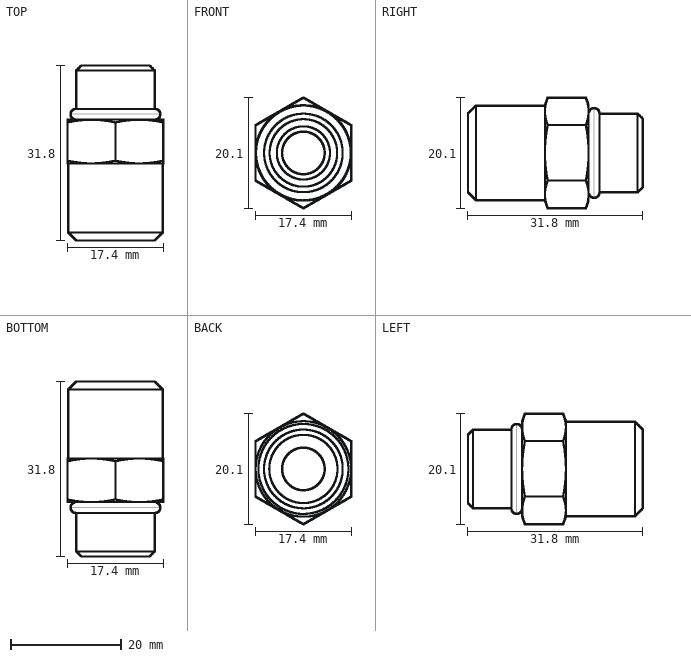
import cadquery as cq
import math

total_length = 31.75
hex_across_flats = 17.4
hex_length = 7.95
hex_bevel_angle = 20.0
hex_bevel_diameter = 17.35

tube_end_diameter = 17.18
tube_end_length = 13.97
tube_end_chamfer = 1.45

stud_diameter = 14.3
stud_chamfer = 0.95

ring_outer_diameter = 16.32
ring_section_diameter = 1.97

bore_diameter = 7.68
seat_mouth_diameter = 12.25
seat_inner_diameter = 9.65
seat_cone_depth = 2.13
seat_depth = 9.52

front_y = -total_length / 2
back_y = total_length / 2
hex_front_y = front_y + tube_end_length
hex_back_y = hex_front_y + hex_length


def axial_cylinder(diameter, start_y, end_y):
    """Cylinder on the Y axis between two stations."""
    return (
        cq.Workplane("XZ", origin=(0, start_y, 0))
        .circle(diameter / 2)
        .extrude(start_y - end_y)
    )


def revolved(profile):
    """Solid of revolution about Y from (radius, y) points."""
    return cq.Workplane("XY").polyline(profile).close().revolve(360, (0, 0), (0, 1))


def bevelled_hex():
    """Hexagon with corners up and down, its corners bevelled at both ends."""
    corner_radius = hex_across_flats / math.sqrt(3)
    corners = [
        (
            corner_radius * math.sin(math.radians(60 * i)),
            corner_radius * math.cos(math.radians(60 * i)),
        )
        for i in range(6)
    ]
    prism = (
        cq.Workplane("XZ", origin=(0, hex_front_y, 0))
        .polyline(corners)
        .close()
        .extrude(-hex_length)
    )
    bevel_radius = hex_bevel_diameter / 2
    bevel_depth = (corner_radius - bevel_radius) * math.tan(math.radians(hex_bevel_angle))
    envelope = revolved([
        (0, hex_front_y),
        (bevel_radius, hex_front_y),
        (corner_radius, hex_front_y + bevel_depth),
        (corner_radius, hex_back_y - bevel_depth),
        (bevel_radius, hex_back_y),
        (0, hex_back_y),
    ])
    return prism.intersect(envelope)


def sealing_ring():
    """O-ring lying against the back of the hexagon."""
    section_radius = ring_section_diameter / 2
    centre_radius = (ring_outer_diameter - ring_section_diameter) / 2
    return (
        cq.Workplane("XY")
        .center(centre_radius, hex_back_y + section_radius)
        .circle(section_radius)
        .revolve(360, (-centre_radius, 0), (-centre_radius, 1))
    )


def tube_seat():
    """Tube socket with a conical mouth, ending in a flat shoulder around the bore."""
    mouth_radius = seat_mouth_diameter / 2
    inner_radius = seat_inner_diameter / 2
    return revolved([
        (0, front_y),
        (mouth_radius, front_y),
        (inner_radius, front_y + seat_cone_depth),
        (inner_radius, front_y + seat_depth),
        (0, front_y + seat_depth),
    ])


tube_end = axial_cylinder(tube_end_diameter, front_y, hex_front_y).faces("<Y").chamfer(tube_end_chamfer)
stud = axial_cylinder(stud_diameter, hex_back_y, back_y).faces(">Y").chamfer(stud_chamfer)
body = bevelled_hex().union(tube_end).union(stud).union(sealing_ring())
bore = axial_cylinder(bore_diameter, front_y, back_y)

result = body.cut(bore).cut(tube_seat())